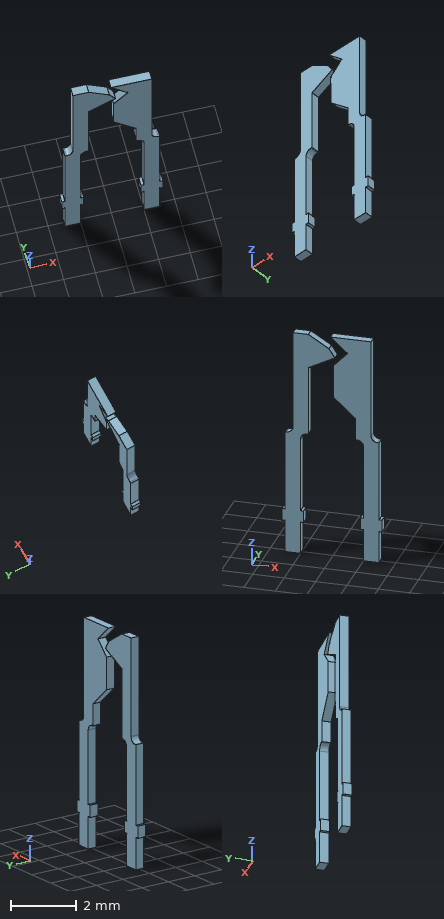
import cadquery as cq
import math

thickness = 0.3
height = 7.43
leg_spacing = 2.5
leg_width = 0.5
tab_overhang = 0.1
tab_bottom = 1.05
tab_top = 1.45
step_height = 4.05
step_offset = 0.25
step_fillet = 0.2

leg_outer = leg_spacing / 2 + leg_width / 2
leg_inner = leg_outer - leg_width
tab_outer = leg_outer + tab_overhang
tab_inner = leg_inner - tab_overhang
neck_outer = leg_outer - step_offset
neck_inner = leg_inner - step_offset

point_shoulder = (-0.095, 7.03)
point_tip = (0.1, 6.735)
point_root_height = 6.3

hook_tip_x = -0.056
notch_bottom = (0.487, 6.935)
jaw_x = 0.035
jaw_top = 6.465
jaw_bottom = 5.41
jaw_root_height = 4.765


def contact(side, head_corners):
    """One flat contact; side is -1 (left) or 1 (right).

    head_corners are the (X, Z) corners of the inner edge of the head,
    from the top edge down to where it meets the straight neck.
    """
    arc_reach = step_fillet * (1 - math.cos(math.pi / 4))

    def at(distance, z):
        return (side * distance, z)

    outline = (
        cq.Workplane("XZ", origin=(0, thickness / 2, 0))
        .moveTo(*at(leg_inner, 0))
        .lineTo(*at(leg_outer, 0))
        .lineTo(*at(leg_outer, tab_bottom))
        .lineTo(*at(tab_outer, tab_bottom))
        .lineTo(*at(tab_outer, tab_top))
        .lineTo(*at(leg_outer, tab_top))
        .lineTo(*at(leg_outer, step_height))
        .lineTo(*at(neck_outer + step_fillet, step_height))
        .threePointArc(
            at(neck_outer + arc_reach, step_height + arc_reach),
            at(neck_outer, step_height + step_fillet),
        )
        .lineTo(*at(neck_outer, height))
    )
    for corner in head_corners:
        outline = outline.lineTo(*corner)

    return (
        outline
        .lineTo(*at(neck_inner, step_height))
        .lineTo(*at(leg_inner - step_fillet, step_height))
        .threePointArc(
            at(leg_inner - arc_reach, step_height - arc_reach),
            at(leg_inner, step_height - step_fillet),
        )
        .lineTo(*at(leg_inner, tab_top))
        .lineTo(*at(tab_inner, tab_top))
        .lineTo(*at(tab_inner, tab_bottom))
        .lineTo(*at(leg_inner, tab_bottom))
        .close()
        .extrude(thickness)
    )


pointed_contact = contact(
    -1,
    [
        (-neck_inner, height),
        point_shoulder,
        point_tip,
        (-neck_inner, point_root_height),
    ],
)

notched_contact = contact(
    1,
    [
        (hook_tip_x, height),
        notch_bottom,
        (jaw_x, jaw_top),
        (jaw_x, jaw_bottom),
        (neck_inner, jaw_root_height),
    ],
)

result = cq.Compound.makeCompound([pointed_contact.val(), notched_contact.val()])